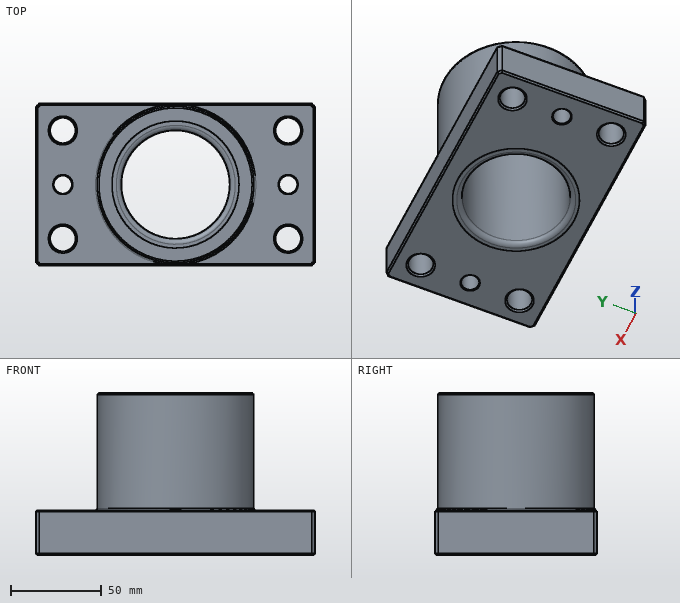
import cadquery as cq
import math

PLATE_LENGTH = 155.0
PLATE_WIDTH = 90.0
PLATE_THICKNESS = 25.0
PLATE_EDGE_CHAMFER = 1.0
PLATE_CORNER_CHAMFER = 2.0

TOTAL_HEIGHT = 90.0
TUBE_DIAMETER = 87.0
TUBE_TOP_CHAMFER = 1.0
TUBE_ROOT_RADIUS = 1.0

LINER_OUTER_DIAMETER = 70.5
LINER_BORE_DIAMETER = 60.0
LINER_LEAD_IN_RADIUS = 3.0

HOLE_SPACING_X = 125.0
SCREW_HOLE_SPACING_Y = 60.0
SCREW_HOLE_DIAMETER = 14.0
SCREW_HOLE_CHAMFER = 1.0
DOWEL_HOLE_DIAMETER = 10.0
DOWEL_HOLE_CHAMFER = 0.5


def make_plate():
    """Block with its base at Z = 0 and all edges broken."""
    return (
        cq.Workplane("XY")
        .box(PLATE_LENGTH, PLATE_WIDTH, PLATE_THICKNESS, centered=(True, True, False))
        .edges("|Z")
        .chamfer(PLATE_CORNER_CHAMFER)
        .faces("<Z or >Z")
        .edges()
        .chamfer(PLATE_EDGE_CHAMFER)
    )


def make_tube_blank():
    """Solid tube blank from Z = 0 to the top, with a chamfered upper rim."""
    return (
        cq.Workplane("XY")
        .circle(TUBE_DIAMETER / 2)
        .extrude(TOTAL_HEIGHT)
        .faces(">Z")
        .chamfer(TUBE_TOP_CHAMFER)
    )


def make_root_fillet():
    """Fillet ring between tube and plate, cut off where the plate's flat top ends."""
    tube_radius = TUBE_DIAMETER / 2
    fillet_edge_radius = tube_radius + TUBE_ROOT_RADIUS
    fillet_top = PLATE_THICKNESS + TUBE_ROOT_RADIUS
    fillet_midpoint = (
        fillet_edge_radius - TUBE_ROOT_RADIUS * math.sqrt(0.5),
        fillet_top - TUBE_ROOT_RADIUS * math.sqrt(0.5),
    )
    ring = (
        cq.Workplane("XZ")
        .moveTo(LINER_OUTER_DIAMETER / 2, PLATE_THICKNESS)
        .lineTo(fillet_edge_radius, PLATE_THICKNESS)
        .threePointArc(fillet_midpoint, (tube_radius, fillet_top))
        .lineTo(LINER_OUTER_DIAMETER / 2, fillet_top)
        .close()
        .revolve(360, (0, 0, 0), (0, 1, 0))
    )
    flat_top_width = PLATE_WIDTH - 2 * PLATE_EDGE_CHAMFER
    limits = cq.Workplane("XY").box(PLATE_LENGTH, flat_top_width, 2 * TOTAL_HEIGHT)
    return ring.intersect(limits)


def make_hole_cutter(diameter, chamfer):
    """Plate hole with a chamfer at both ends, centred on the Z axis."""
    radius = diameter / 2
    profile = (
        cq.Workplane("XZ")
        .moveTo(0, 0)
        .lineTo(radius + chamfer, 0)
        .lineTo(radius, chamfer)
        .lineTo(radius, PLATE_THICKNESS - chamfer)
        .lineTo(radius + chamfer, PLATE_THICKNESS)
        .lineTo(0, PLATE_THICKNESS)
        .close()
    )
    return profile.revolve(360, (0, 0, 0), (0, 1, 0))


def make_housing():
    """Flange plate and tube in one piece, bored for the liner."""
    housing = make_plate().union(make_tube_blank()).union(make_root_fillet())
    liner_seat = cq.Workplane("XY").circle(LINER_OUTER_DIAMETER / 2).extrude(TOTAL_HEIGHT)
    housing = housing.cut(liner_seat)

    screw_hole = make_hole_cutter(SCREW_HOLE_DIAMETER, SCREW_HOLE_CHAMFER)
    dowel_hole = make_hole_cutter(DOWEL_HOLE_DIAMETER, DOWEL_HOLE_CHAMFER)
    for x in (-HOLE_SPACING_X / 2, HOLE_SPACING_X / 2):
        housing = housing.cut(dowel_hole.translate((x, 0, 0)))
        for y in (-SCREW_HOLE_SPACING_Y / 2, SCREW_HOLE_SPACING_Y / 2):
            housing = housing.cut(screw_hole.translate((x, y, 0)))
    return housing


def make_liner():
    """Plain sleeve over the full height with rounded bore mouths."""
    sleeve = (
        cq.Workplane("XY")
        .circle(LINER_OUTER_DIAMETER / 2)
        .circle(LINER_BORE_DIAMETER / 2)
        .extrude(TOTAL_HEIGHT)
    )
    bore_mouths = sleeve.edges(cq.selectors.RadiusNthSelector(0))
    return bore_mouths.fillet(LINER_LEAD_IN_RADIUS)


housing = make_housing()
liner = make_liner()

result = cq.Compound.makeCompound([housing.val(), liner.val()])